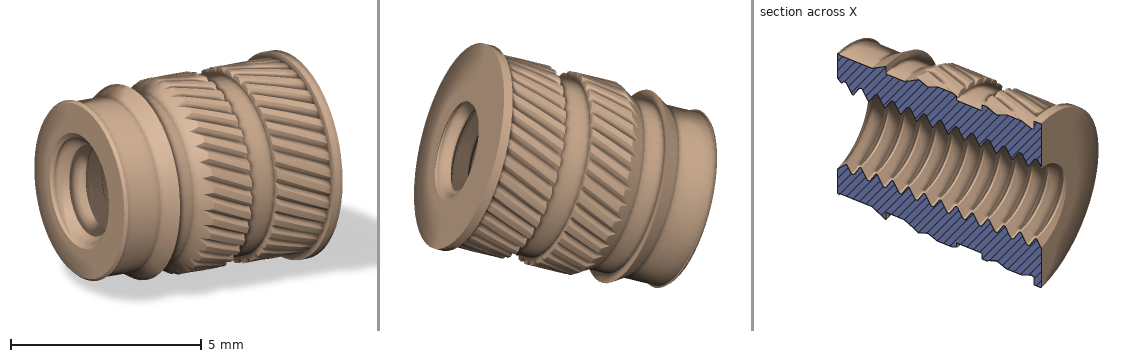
import cadquery as cq
import math


LENGTH = 6.4
RIM_LENGTH = 0.08
BARB_START = 1.1
BARB_END = 1.54
TAPER_START = 2.105
TAPER_END = 2.57
NECK_START = 3.745
NECK_END = 4.525
FLANGE_START = 6.15

BODY_RADIUS = 2.35
RIM_RADIUS = 2.41
NECK_RADIUS = 2.42
KNURL_RADIUS = 5.23 / 2
FLANGE_RADIUS = 5.56 / 2

GROOVE_COUNT = 36
GROOVE_DEPTH = 0.135
GROOVE_CLEARANCE = 0.065
GROOVE_ANGLE = -86.7
TWIST_PER_LENGTH = 9.219

THREAD_PITCH = 0.5
THREAD_MINOR_RADIUS = 1.17
THREAD_MAJOR_RADIUS = 1.5
THREAD_CREST_WIDTH = 0.045
THREAD_FLANK_ANGLE = 30.0
THREAD_FIRST_TURN = -0.635
THREAD_OVERLAP = 0.025

MOUTH_RADIUS = 1.55
MOUTH_DEPTH = MOUTH_RADIUS


def turned_sleeve():
    """Revolve the outer steps and the front countersink, up to the flange and without the bore."""
    outline = [
        (0, MOUTH_DEPTH),
        (MOUTH_RADIUS, 0),
        (BODY_RADIUS, 0),
        (RIM_RADIUS, RIM_LENGTH),
        (BODY_RADIUS, RIM_LENGTH),
        (BODY_RADIUS, BARB_START),
        (KNURL_RADIUS, BARB_END),
        (BODY_RADIUS, BARB_END),
        (BODY_RADIUS, TAPER_START),
        (KNURL_RADIUS, TAPER_END),
        (KNURL_RADIUS, NECK_START),
        (NECK_RADIUS, NECK_START),
        (NECK_RADIUS, NECK_END),
        (KNURL_RADIUS, NECK_END),
        (KNURL_RADIUS, FLANGE_START),
        (0, FLANGE_START),
    ]
    return cq.Workplane("XZ").polyline(outline).close().revolve(360, (0, 0, 0), (0, 1, 0))


def knurl_grooves():
    """Twisted V bars from the taper to just past the sleeve, passing clear above the neck."""
    root = KNURL_RADIUS - GROOVE_DEPTH
    half_width = GROOVE_DEPTH + GROOVE_CLEARANCE
    outer = root + half_width
    groove_length = FLANGE_START + GROOVE_CLEARANCE - TAPER_START
    groove = (
        cq.Workplane("XY")
        .polyline([(root, 0), (outer, -half_width), (outer, half_width)])
        .close()
        .twistExtrude(groove_length, TWIST_PER_LENGTH * groove_length)
        .translate((0, 0, TAPER_START))
    )
    grooves = []
    for index in range(GROOVE_COUNT):
        angle = GROOVE_ANGLE + index * 360 / GROOVE_COUNT
        grooves.append(groove.rotate((0, 0, 0), (0, 0, 1), angle).val())
    return grooves


def flange():
    """Plain disc that closes the knurl grooves at the rear."""
    disc = cq.Workplane("XY").workplane(offset=FLANGE_START).circle(FLANGE_RADIUS)
    return disc.extrude(LENGTH - FLANGE_START)


def thread_groove():
    """Helical groove with a trapezoid profile that leaves narrow crests in the bore."""
    flank_slope = math.tan(math.radians(THREAD_FLANK_ANGLE))
    thread_depth = THREAD_MAJOR_RADIUS - THREAD_MINOR_RADIUS
    inner_radius = THREAD_MINOR_RADIUS - THREAD_OVERLAP
    opening = (THREAD_PITCH - THREAD_CREST_WIDTH) / 2
    inner_half_width = opening + THREAD_OVERLAP * flank_slope
    root_half_width = opening - thread_depth * flank_slope
    profile = [
        (inner_radius, -inner_half_width),
        (THREAD_MAJOR_RADIUS, -root_half_width),
        (THREAD_MAJOR_RADIUS, root_half_width),
        (inner_radius, inner_half_width),
    ]
    turned_length = LENGTH + THREAD_PITCH - THREAD_FIRST_TURN
    helix = cq.Wire.makeHelix(THREAD_PITCH, turned_length, THREAD_MINOR_RADIUS)
    groove = cq.Workplane("XZ").polyline(profile).close().sweep(cq.Workplane(helix), isFrenet=True)
    return groove.translate((0, 0, THREAD_FIRST_TURN))


def threaded_bore():
    """Cylinder of the minor radius joined to the thread groove, sticking out at both ends."""
    core = cq.Workplane("XY").workplane(offset=THREAD_FIRST_TURN - THREAD_PITCH)
    core = core.circle(THREAD_MINOR_RADIUS).extrude(LENGTH + 3 * THREAD_PITCH - THREAD_FIRST_TURN)
    return core.union(thread_groove())


knurled_sleeve = cq.Workplane(turned_sleeve().val().cut(*knurl_grooves()))
insert = knurled_sleeve.union(flange()).cut(threaded_bore())
result = insert.rotate((0, 0, 0), (1, 0, 0), -90)